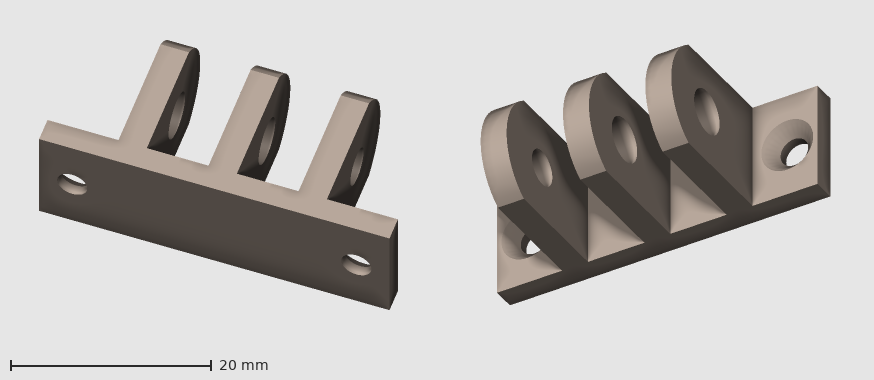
import cadquery as cq

plate_length = 37.0
plate_thickness = 2.5
height = 12.0

mount_hole_diameter = 3.2
mount_hole_spacing = 30.0
countersink_diameter = 6.0
countersink_angle = 90

lug_thickness = 3.0
lug_pitch = 9.5
lug_reach = 18.5
lug_tip_radius = 7.0
pivot_y = lug_reach - lug_tip_radius

pivot_diameters = [5.0, 5.0, 4.0]


def block(length_x, length_y):
    """Full-height block centred on x = 0 and starting at y = 0."""
    return cq.Workplane("XY").box(length_x, length_y, height, centered=(True, False, True))


def make_plate():
    half_spacing = mount_hole_spacing / 2
    return (
        block(plate_length, plate_thickness)
        .faces(">Y").workplane(origin=(0, 0, 0))
        .pushPoints([(-half_spacing, 0), (half_spacing, 0)])
        .cskHole(mount_hole_diameter, countersink_diameter, countersink_angle)
    )


def make_lug(center_x, pivot_diameter):
    """Bar with a round tip concentric with its pivot hole."""
    pivot_plane = cq.Workplane("YZ", origin=(-lug_thickness / 2, pivot_y, 0))
    tip_disc = pivot_plane.circle(lug_tip_radius).extrude(lug_thickness)
    pivot_hole = pivot_plane.circle(pivot_diameter / 2).extrude(lug_thickness)

    shank = block(lug_thickness, pivot_y)
    envelope = block(lug_thickness, lug_reach)
    lug = shank.union(tip_disc).intersect(envelope).cut(pivot_hole)
    return lug.translate((center_x, 0, 0))


result = make_plate()
middle_index = (len(pivot_diameters) - 1) / 2
for index, diameter in enumerate(pivot_diameters):
    lug_x = (index - middle_index) * lug_pitch
    result = result.union(make_lug(lug_x, diameter))